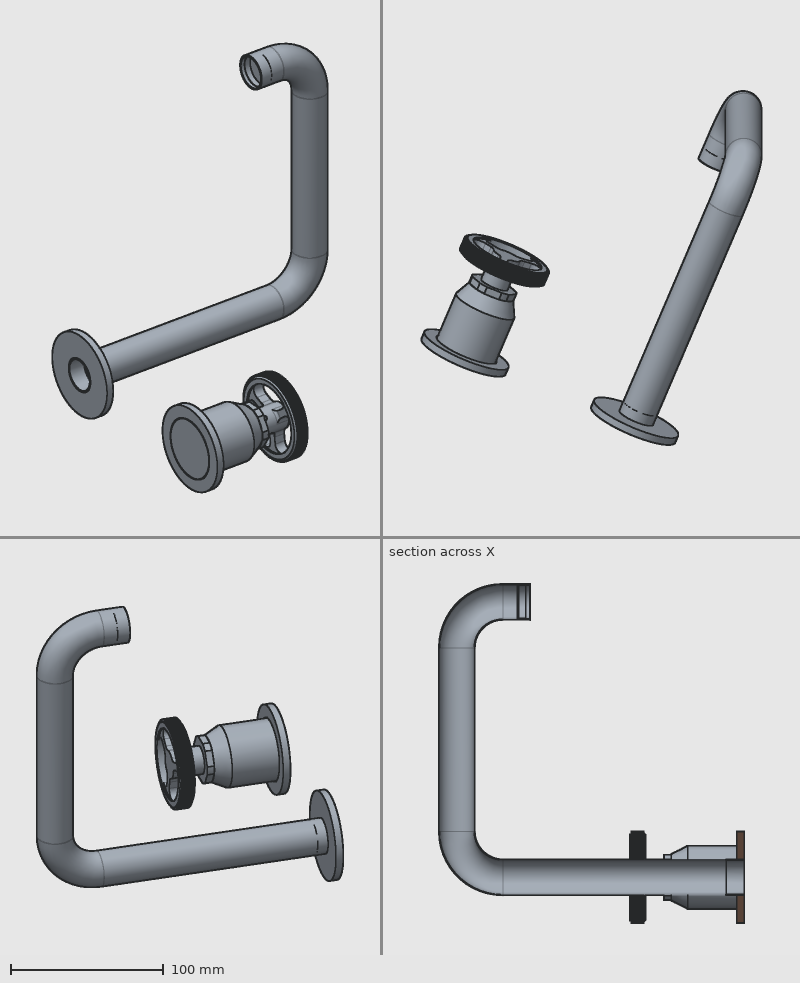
import cadquery as cq
import math


flange_diameter = 60.0
flange_thickness = 5.0
valve_spacing = 120.0

tube_diameter = 24.0
bore_diameter = 22.5
spout_reach = 200.0
spout_rise = 180.0
bend_radius = 30.0
outlet_overhang = 60.0
inlet_collar_diameter = 21.8
inlet_collar_length = 12.0

aerator_length = 8.5
aerator_floor = 1.0
aerator_bore_diameter = 21.3
aerator_mouth_diameter = 21.8
aerator_mouth_depth = 2.9

housing_diameter = 41.5
housing_clearance = 0.55
barrel_end = 37.0
cone_end = 47.7
collar_end = 52.6
cone_tip_diameter = 30.9
collar_diameter = 31.5
collar_across_flats = 29.7

wheel_diameter = 60.0
wheel_front = 64.5
band_front = 66.0
band_back = 74.0
wheel_back = 75.0
front_lip_base_diameter = 58.2
front_lip_tip_diameter = 55.5
back_lip_diameter = 56.5
window_diameter = 48.5
hub_diameter = 18.9
hub_flare_radius = 1.8
spoke_count = 3
spoke_width = 5.3
spoke_angle = 38.0
window_corner_radius = 5.0
knurl_count = 100
knurl_depth = 0.5
knurl_crest_share = 0.5
set_screw_diameter = 3.5
set_screw_depth = 3.3
set_screw_y = 56.2
set_screw_angle = 46.0

outlet_y = spout_reach - outlet_overhang


def disc(diameter, y_start, y_end, x=0.0, z=0.0):
    """Solid cylinder along Y between two Y positions."""
    plane = cq.Plane(origin=(x, y_start, z), xDir=(1, 0, 0), normal=(0, 1, 0))
    return cq.Workplane(plane).circle(diameter / 2).extrude(y_end - y_start)


def ring(outer_diameter, inner_diameter, y_start, y_end, x=0.0, z=0.0):
    """Hollow cylinder along Y between two Y positions."""
    outer = disc(outer_diameter, y_start, y_end, x, z)
    return outer.cut(disc(inner_diameter, y_start, y_end, x, z))


def make_spout():
    riser_y = spout_reach - tube_diameter / 2
    path = (
        cq.Workplane("YZ")
        .lineTo(riser_y - bend_radius, 0)
        .radiusArc((riser_y, bend_radius), -bend_radius)
        .lineTo(riser_y, spout_rise - bend_radius)
        .radiusArc((riser_y - bend_radius, spout_rise), -bend_radius)
        .lineTo(outlet_y, spout_rise)
    )
    section = cq.Workplane("XZ").circle(tube_diameter / 2).circle(bore_diameter / 2)
    tube = section.sweep(path)
    inlet_collar = ring(tube_diameter, inlet_collar_diameter, 0, inlet_collar_length)
    return tube.union(inlet_collar)


def make_aerator():
    end_y = outlet_y + aerator_length
    cup = disc(bore_diameter, outlet_y, end_y, z=spout_rise)
    cavity = disc(aerator_bore_diameter, outlet_y, end_y - aerator_floor, z=spout_rise)
    mouth = disc(aerator_mouth_diameter, outlet_y, outlet_y + aerator_mouth_depth, z=spout_rise)
    return cup.cut(cavity).cut(mouth)


def make_flange(x, hole_diameter):
    return ring(flange_diameter, hole_diameter, 0, flange_thickness, x=x)


def make_housing():
    profile = [
        (0, 0),
        (housing_diameter / 2, 0),
        (housing_diameter / 2, barrel_end),
        (cone_tip_diameter / 2, cone_end),
        (0, cone_end),
    ]
    barrel_and_cone = cq.Workplane("XY").polyline(profile).close().revolve(360, (0, 0), (0, 1))
    hexagon_turn = 30.0
    hexagon = (
        cq.Workplane("XZ", origin=(0, collar_end, 0))
        .polygon(6, collar_across_flats, circumscribed=True)
        .extrude(collar_end - cone_end)
        .rotate((0, 0, 0), (0, 1, 0), hexagon_turn)
    )
    collar = disc(collar_diameter, cone_end, collar_end).intersect(hexagon)
    return barrel_and_cone.union(collar).translate((valve_spacing, 0, 0))


def make_knurled_band():
    crest_radius = wheel_diameter / 2
    root_radius = crest_radius - knurl_depth
    pitch = 2 * math.pi / knurl_count
    half_crest = knurl_crest_share * pitch / 2
    outline = []
    for tooth in range(knurl_count):
        middle = tooth * pitch
        corners = [
            (crest_radius, middle - half_crest),
            (crest_radius, middle + half_crest),
            (root_radius, middle + pitch / 2),
        ]
        outline += [(r * math.cos(a), r * math.sin(a)) for r, a in corners]
    return (
        cq.Workplane("XZ", origin=(0, band_back, 0))
        .polyline(outline)
        .close()
        .extrude(band_back - band_front)
    )


def make_windows():
    """The round-cornered openings between the spokes."""
    front = band_front - hub_flare_radius
    windows = ring(window_diameter, hub_diameter, front, band_back)
    for i in range(spoke_count):
        spoke = (
            cq.Workplane("XY", origin=(0, front, 0))
            .box(wheel_diameter, band_back - front, spoke_width, centered=(False, False, True))
            .rotate((0, 0, 0), (0, 1, 0), i * 360 / spoke_count)
        )
        windows = windows.cut(spoke)
    windows = windows.edges("|Y").fillet(window_corner_radius)
    return windows.rotate((0, 0, 0), (0, 1, 0), -spoke_angle)


def make_front_lip():
    bevel_height = band_front - wheel_front
    bevel = math.degrees(math.atan2(front_lip_base_diameter - front_lip_tip_diameter, 2 * bevel_height))
    cone = (
        cq.Workplane("XZ", origin=(0, band_front, 0))
        .circle(front_lip_base_diameter / 2)
        .extrude(bevel_height, taper=bevel)
    )
    return cone.cut(disc(window_diameter, wheel_front, band_front))


def make_hub_flare():
    inner = hub_diameter / 2
    outer = inner + hub_flare_radius
    return (
        cq.Workplane("XY")
        .moveTo(0, band_front)
        .lineTo(outer, band_front)
        .radiusArc((inner, band_front - hub_flare_radius), -hub_flare_radius)
        .lineTo(0, band_front - hub_flare_radius)
        .close()
        .revolve(360, (0, 0), (0, 1))
    )


def make_set_screw_hole():
    angle = math.radians(set_screw_angle)
    outward = cq.Vector(math.cos(angle), 0, math.sin(angle))
    floor = outward * (hub_diameter / 2 - set_screw_depth) + cq.Vector(0, set_screw_y, 0)
    plane = cq.Plane(origin=floor, xDir=(0, 1, 0), normal=outward)
    return cq.Workplane(plane).circle(set_screw_diameter / 2).extrude(2 * set_screw_depth)


def make_handwheel():
    back_lip = ring(back_lip_diameter, window_diameter, band_back, wheel_back)
    hub = disc(hub_diameter, collar_end, band_front)
    wheel = make_knurled_band().union(make_hub_flare()).cut(make_windows())
    wheel = wheel.union(make_front_lip()).union(back_lip).union(hub)
    return wheel.cut(make_set_screw_hole()).translate((valve_spacing, 0, 0))


spout = make_spout()
aerator = make_aerator()
spout_flange = make_flange(0, tube_diameter)
valve_flange = make_flange(valve_spacing, housing_diameter + 2 * housing_clearance)
housing = make_housing()
handwheel = make_handwheel()

result = cq.Compound.makeCompound([
    spout.solids().val(),
    aerator.solids().val(),
    spout_flange.solids().val(),
    valve_flange.solids().val(),
    housing.solids().val(),
    handwheel.solids().val(),
])